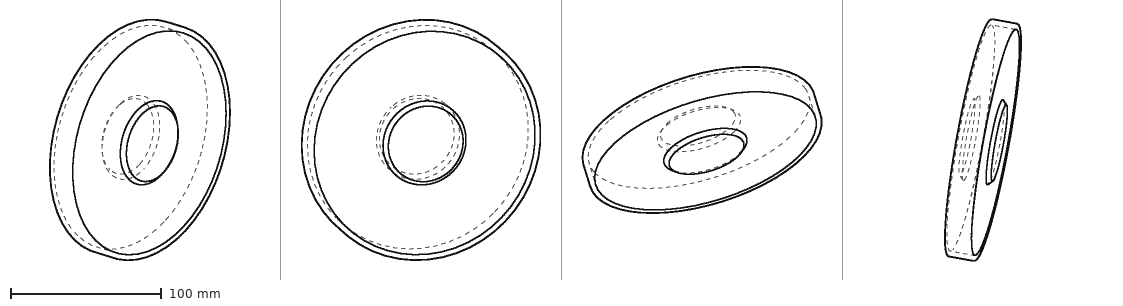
import cadquery as cq
import math

outer_radius = 80.0
hub_half_width = 11.0
rim_half_width = 9.0

edge_round = 0.72
crest_radius = outer_radius - edge_round
cone_drop = 0.55
seat_radius = 76.2

step_outer_radius = 65.3
step_inner_radius = 60.5
step_drop = 0.24

outer_face = rim_half_width - cone_drop
inner_face = outer_face - step_drop

hub_tip_radius = 25.8
hub_base_radius = hub_tip_radius + hub_half_width - inner_face


def revolve_about_x(profile):
    """Turn a closed XY profile, with Y as the radius, into a solid of revolution."""
    return profile.revolve(360, (0, 0, 0), (1, 0, 0))


def make_wheel():
    """Disc with a raised hub boss and a shallow step on both sides."""
    profile = (
        cq.Workplane("XY")
        .lineTo(hub_half_width, 0)
        .lineTo(hub_half_width, hub_tip_radius)
        .lineTo(inner_face, hub_base_radius)
        .lineTo(inner_face, step_inner_radius)
        .lineTo(outer_face, step_outer_radius)
        .lineTo(outer_face, seat_radius)
        .lineTo(0, seat_radius)
        .mirrorY()
    )
    return revolve_about_x(profile)


def make_tire():
    """Ring around the wheel with conical sides and rounded outer edges."""
    shoulder = rim_half_width - edge_round
    round_offset = edge_round * math.sqrt(0.5)
    profile = (
        cq.Workplane("XY")
        .moveTo(0, seat_radius)
        .lineTo(outer_face, seat_radius)
        .lineTo(rim_half_width, crest_radius)
        .threePointArc(
            (shoulder + round_offset, crest_radius + round_offset),
            (shoulder, outer_radius),
        )
        .lineTo(0, outer_radius)
        .mirrorY()
    )
    return revolve_about_x(profile)


wheel = make_wheel()
tire = make_tire()

result = cq.Compound.makeCompound([wheel.val(), tire.val()])